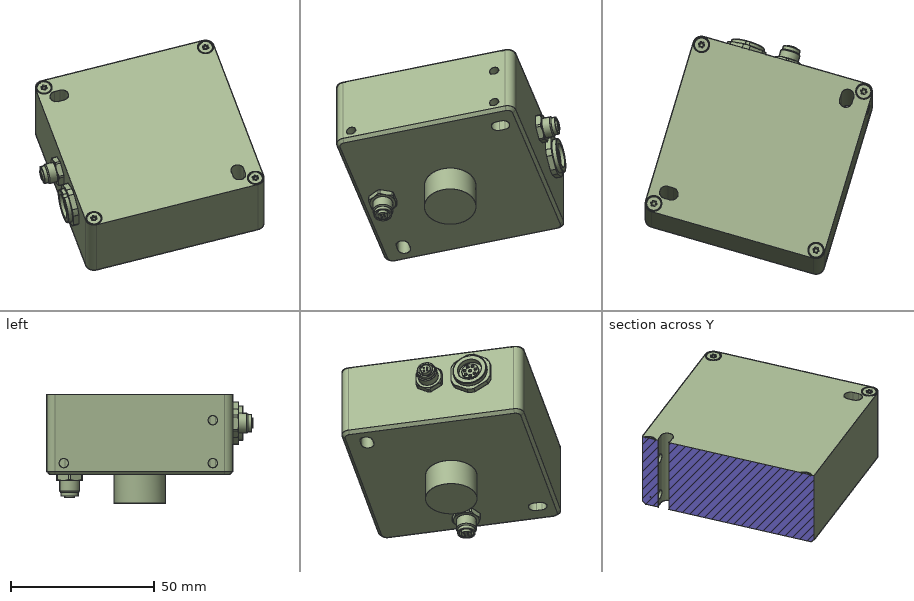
import cadquery as cq
import math

box_side = 65.0
box_height = 28.0
corner_radius = 3.0
bottom_chamfer = 1.15
half_side = box_side / 2

stub_diameter = 18
stub_length = 10.0

screw_offset = half_side - corner_radius
countersink_diameter = 5.6
screw_head_diameter = 5.0
countersink_depth = 0.5
recess_diameter = 2.3
recess_lobe_width = 0.5
recess_depth = 1.0
recess_core_diameter = 1.2

slot_length = 6.5
slot_width = 4.5
slot_near = 24.5
slot_far = 25.5

side_hole_diameter = 3.25
side_hole_high = box_height - 9.0
side_hole_low = box_height - 24.0
rear_hole_y = 26.5
rear_hole_depth = 5.75
rear_hole_edge_y = 26.1
rear_hole_rounding = 3.0

connector_z = box_height - 10.0
small_connector_x = -0.5
large_connector_x = 14.5
bottom_connector_y = 24.5
nut_thickness = 2.0

small_nut_flats = 9.0
small_nut_corners = 10.0
small_nut_bevel_width = 0.5
small_nut_bevel_height = 0.3
small_body_diameter = 7.0
small_body_chamfer_width = 0.35
small_body_chamfer_height = 0.4
small_collar_diameter = 6.1
small_collar_step = 1.7
small_tip_step = 0.5
small_mouth_diameter = 5.0
small_mouth_depth = 1.0
small_insert_diameter = 3.45
small_contact_diameter = 0.5
small_contact_offset = 0.6
overall_depth = 72
front_connector_length = overall_depth - box_side
bottom_connector_length = 8.0

large_nut_flats = 14.0
large_nut_corners = 14.9
large_length = 3.6
large_body_diameter = 12.0
large_body_chamfer = 0.2
large_bore_diameter = 8.5
large_bore_depth = 2.0
large_insert_diameter = 6.0
large_insert_height = 1.0
large_contact_diameter = 1.0
large_contact_circle = 4.0
large_contacts_on_circle = 7
keyway_diameter = 2.0
keyway_depth = 0.35

contact_depth = 1.0


def cylinder(diameter, bottom, top):
    """Upright cylinder on the Z axis between two heights."""
    return cq.Workplane("XY").workplane(offset=bottom).circle(diameter / 2).extrude(top - bottom)


def cone(bottom_diameter, top_diameter, bottom, top):
    """Upright cone on the Z axis; the bottom may be a point."""
    profile = [(0, bottom), (bottom_diameter / 2, bottom), (top_diameter / 2, top), (0, top)]
    if bottom_diameter == 0:
        profile.pop(0)
    return cq.Workplane("XZ").polyline(profile).close().revolve(360, (0, 0, 0), (0, 1, 0))


def hex_nut(flats, corners):
    """Nut on Z = 0 with two corners pointing along Y and all corners rounded to a circle."""
    hexagon = cq.Workplane("XY").polygon(6, flats / math.cos(math.pi / 6)).extrude(nut_thickness)
    return hexagon.rotate((0, 0, 0), (0, 0, 1), 30).intersect(cylinder(corners, 0, nut_thickness))


def on_front_wall(connector, x):
    """Turn a connector built along +Z to point along -Y from the front wall."""
    turned = connector.rotate((0, 0, 0), (1, 0, 0), 90)
    return turned.translate((x, -half_side, connector_z))


def make_housing():
    box = cq.Workplane("XY").rect(box_side, box_side).extrude(box_height)
    box = box.edges("|Z").fillet(corner_radius).faces("<Z").chamfer(bottom_chamfer)
    return box.union(cylinder(stub_diameter, -stub_length, bottom_chamfer))


def make_screw_cut():
    """Conical gap around a flush screw head and its tapering six-lobed recess, with Z = 0 at the top face."""
    gap = cone(screw_head_diameter, countersink_diameter, -countersink_depth, 0)
    gap = gap.cut(cylinder(screw_head_diameter, -countersink_depth, 0))
    recess = cylinder(recess_core_diameter, -recess_depth, 0)
    for angle in (0, 60, 120):
        lobes = cq.Workplane("XY").slot2D(recess_diameter, recess_lobe_width, angle).extrude(-recess_depth)
        recess = recess.union(lobes)
    return gap, recess.intersect(cone(0, recess_diameter, -recess_depth, 0))


def make_slot(x, y, angle):
    slot = cq.Workplane("XY").slot2D(slot_length, slot_width, angle).extrude(box_height)
    return slot.translate((x, y, 0))


def make_side_hole(y, z, depth):
    hole = cylinder(side_hole_diameter, 0, depth).rotate((0, 0, 0), (0, 1, 0), 90)
    return hole.translate((-half_side, y, z))


def make_rear_hole():
    """Blind hole whose flat floor rolls away in a convex rounding towards +Y."""
    hole = make_side_hole(rear_hole_y, side_hole_low, rear_hole_depth + rear_hole_rounding)
    floor_x = -half_side + rear_hole_depth
    core_start_y = rear_hole_y - side_hole_diameter
    core = (
        cq.Workplane("XY")
        .moveTo(floor_x, core_start_y)
        .lineTo(floor_x, rear_hole_edge_y)
        .radiusArc((floor_x + rear_hole_rounding, rear_hole_edge_y + rear_hole_rounding), rear_hole_rounding)
        .lineTo(floor_x + rear_hole_rounding, core_start_y)
        .close()
        .extrude(box_height)
    )
    return hole.cut(core)


def make_small_connector(length):
    """Four-pole connector along +Z, standing on Z = 0."""
    collar_top = length - small_tip_step
    body_top = collar_top - small_collar_step
    bevel = cylinder(small_nut_corners, 0, nut_thickness)
    bevel = bevel.faces(">Z").chamfer(small_nut_bevel_height, small_nut_bevel_width)
    nut = hex_nut(small_nut_flats, small_nut_corners).intersect(bevel)
    body = cylinder(small_body_diameter, 0, body_top + small_body_chamfer_height)
    body = body.faces(">Z").chamfer(small_body_chamfer_height, small_body_chamfer_width)
    shell = nut.union(body).union(cylinder(small_collar_diameter, 0, collar_top))
    mouth_floor = collar_top - small_mouth_depth
    shell = shell.cut(cone(small_insert_diameter, small_mouth_diameter, mouth_floor, collar_top))
    connector = shell.union(cylinder(small_insert_diameter, 0, length))
    for x in (-small_contact_offset, small_contact_offset):
        for y in (-small_contact_offset, small_contact_offset):
            contact = cylinder(small_contact_diameter, length - contact_depth, length)
            connector = connector.cut(contact.translate((x, y, 0)))
    return connector


def make_large_connector():
    """Eight-pole connector along +Z, standing on Z = 0."""
    body = cylinder(large_body_diameter, 0, large_length).faces(">Z").chamfer(large_body_chamfer)
    keyway_center = (large_body_diameter + keyway_diameter) / 2 - keyway_depth
    body = body.cut(cylinder(keyway_diameter, 0, large_length).translate((0, keyway_center, 0)))
    connector = hex_nut(large_nut_flats, large_nut_corners).union(body)
    floor = large_length - large_bore_depth
    connector = connector.cut(cylinder(large_bore_diameter, floor, large_length))
    insert_top = floor + large_insert_height
    connector = connector.union(cylinder(large_insert_diameter, 0, insert_top))
    contact = cylinder(large_contact_diameter, insert_top - contact_depth, insert_top)
    connector = connector.cut(contact)
    for i in range(large_contacts_on_circle):
        angle = 360 * i / large_contacts_on_circle
        offset_contact = contact.translate((0, -large_contact_circle / 2, 0))
        connector = connector.cut(offset_contact.rotate((0, 0, 0), (0, 0, 1), angle))
    return connector


result = make_housing()

screw_gap, screw_recess = make_screw_cut()
for x in (-screw_offset, screw_offset):
    for y in (-screw_offset, screw_offset):
        for cutter in (screw_gap, screw_recess):
            result = result.cut(cutter.translate((x, y, box_height)))

result = result.cut(make_slot(-slot_near, -slot_far, 90))
result = result.cut(make_slot(slot_far, slot_near, 0))

for z in (side_hole_low, side_hole_high):
    result = result.cut(make_side_hole(-slot_far, z, half_side - slot_near))
result = result.cut(make_rear_hole())

result = result.union(on_front_wall(make_small_connector(front_connector_length), small_connector_x))
result = result.union(on_front_wall(make_large_connector(), large_connector_x))

bottom_connector = make_small_connector(bottom_connector_length).rotate((0, 0, 0), (0, 0, 1), 90)
bottom_connector = bottom_connector.rotate((0, 0, 0), (1, 0, 0), 180)
result = result.union(bottom_connector.translate((0, bottom_connector_y, 0)))